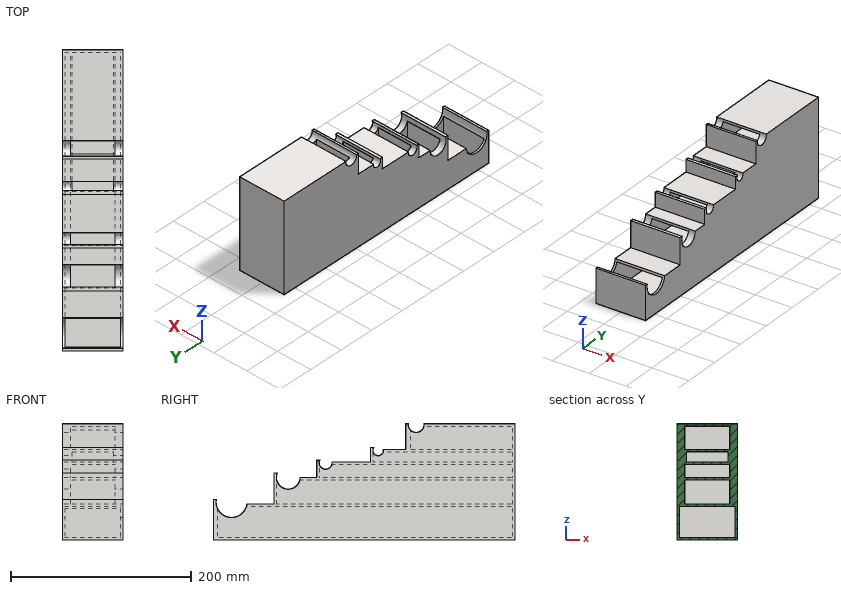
import cadquery as cq

WIDTH = 67.5
LENGTH = 335.0
WALL = 3.0

STEPS = [
    dict(front=0.0, tread=40.2, rail=5.0, radius=17.0, axis_drop=-2.0, channel_width=61.5, front_gap=1.7),
    dict(front=67.0, tread=69.7, rail=5.0, radius=13.0, axis_drop=0.0, channel_width=49.5, front_gap=0.0),
    dict(front=114.5, tread=86.8, rail=2.0, radius=7.0, axis_drop=1.0, channel_width=49.5, front_gap=0.0),
    dict(front=174.2, tread=101.0, rail=2.0, radius=5.7, axis_drop=1.5, channel_width=45.5, front_gap=0.0),
    dict(front=213.5, tread=129.3, rail=0.0, radius=8.7, axis_drop=1.0, channel_width=49.5, front_gap=2.5),
]


def box(width, y_start, y_end, z_bottom, z_top):
    """Box centred on X = 0 between the given Y and Z limits."""
    return (
        cq.Workplane("XY", origin=(0, y_start, z_bottom))
        .box(width, y_end - y_start, z_top - z_bottom, centered=(True, False, False))
    )


def groove_axis(step):
    """Y and Z of the groove axis."""
    return step["front"] + WALL + step["radius"], step["tread"] - step["axis_drop"]


def step_body(step):
    """Solid step running to the back face, with its rail along the front edge."""
    tread = step["tread"]
    body = box(WIDTH, step["front"], LENGTH, 0, tread)
    if step["rail"] > 0:
        axis_y, _ = groove_axis(step)
        body = body.union(box(WIDTH, step["front"], axis_y, 0, tread + step["rail"]))
    return body


def groove(step):
    """Cylinder across the full width that forms the round trough."""
    return (
        cq.Workplane("YZ")
        .center(*groove_axis(step))
        .circle(step["radius"])
        .extrude(WIDTH / 2, both=True)
    )


def channel(step, floor):
    """Level channel from the groove to the back wall, roofed by the tread."""
    y_start = step["front"] + WALL + step["front_gap"]
    return box(step["channel_width"], y_start, LENGTH - WALL, floor, step["tread"] - WALL)


result = step_body(STEPS[0])
for step in STEPS[1:]:
    result = result.union(step_body(step))

floor = WALL
for step in STEPS:
    result = result.cut(groove(step)).cut(channel(step, floor))
    floor = step["tread"]